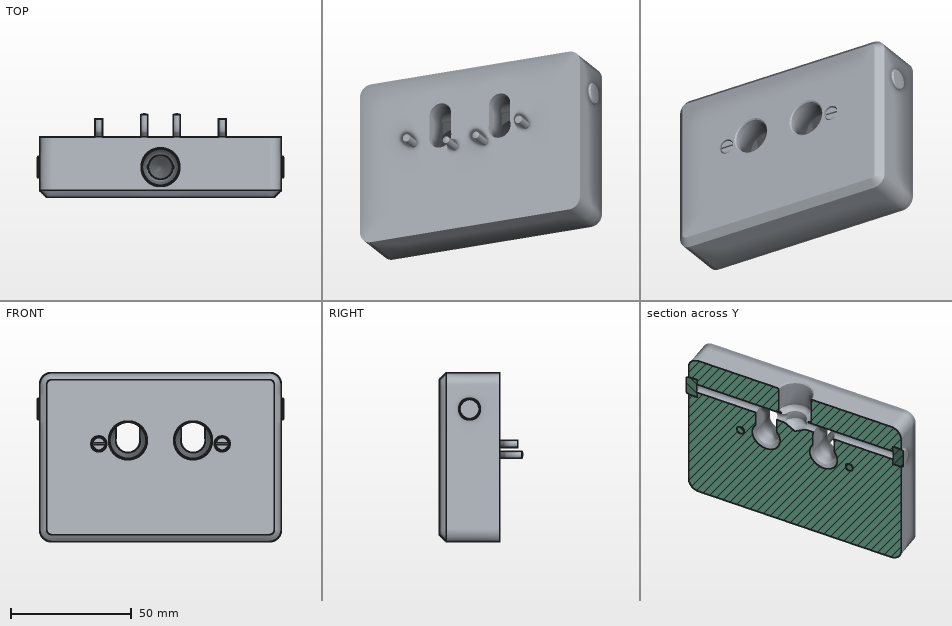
import cadquery as cq
import math


width = 100.0
depth = 25.0
height = 70.0
corner_radius = 5.0
front_chamfer = 3.0
front_y = -depth / 2
back_y = depth / 2

port_diameter = 15.0
port_depth = 11.9
port_rim_chamfer = 0.5
inner_diameter = 10.0
drill_half_angle = math.radians(60)
front_port_x = 13.5
front_port_z = 6.9

slot_width = 9.7
slot_rise = slot_width

channel_diameter = 4.0
channel_z = 19.9
plug_diameter = 9.0
plug_protrusion = 1.0
plug_seat_depth = 4.0
plug_chamfer = 0.5

screw_x = 25.5
screw_z = 5.5
shank_diameter = 3.2
shank_protrusion = 7.4
head_diameter = 5.6
head_height = 3.0
head_chamfer = 0.2
head_recess_diameter = 6.5
head_sink = 0.3
head_y = front_y + head_sink
head_seat_y = head_y + head_height
driver_slot_width = 0.7
driver_slot_depth = 1.0

pin_x = 6.7
pin_z = 1.0
pin_diameter = 3.0
pin_protrusion = 9.5
pin_seat_depth = 6.0
pin_dome_radius = pin_diameter

both_sides = (-1, 1)


def rod_y(diameter, x, z, y_start, y_end):
    """Cylinder along Y between two Y positions."""
    return (
        cq.Workplane("XZ", origin=(x, y_start, z))
        .circle(diameter / 2)
        .extrude(y_start - y_end)
    )


def port_cutter(inner_depth):
    """Port along -Z from the origin, ending in a drill point below the narrow bore."""
    outer_r = port_diameter / 2
    inner_r = inner_diameter / 2
    rim_r = outer_r + port_rim_chamfer
    shoulder_depth = port_depth + (outer_r - inner_r) / math.tan(drill_half_angle)
    tip_depth = inner_depth + inner_r / math.tan(drill_half_angle)
    return (
        cq.Workplane("XZ")
        .polyline([
            (0, 0),
            (rim_r, 0),
            (outer_r, -port_rim_chamfer),
            (outer_r, -port_depth),
            (inner_r, -shoulder_depth),
            (inner_r, -inner_depth),
            (0, -tip_depth),
        ])
        .close()
        .revolve(360, (0, 0, 0), (0, 1, 0))
    )


def back_slot(x):
    """Vertical round-ended slot from the port's cone to the back face."""
    return (
        cq.Workplane("XZ", origin=(x, back_y, front_port_z + slot_rise / 2))
        .slot2D(slot_rise + slot_width, slot_width, 90)
        .extrude(depth - port_depth)
    )


def plug_blank(side):
    """Plain plug cylinder, from its seat to its outer face, on one end of the channel."""
    seat_x = width / 2 - plug_seat_depth
    return (
        cq.Workplane("YZ", origin=(side * seat_x, 0, channel_z))
        .circle(plug_diameter / 2)
        .extrude(side * (plug_seat_depth + plug_protrusion))
    )


def make_housing():
    body = cq.Workplane("XY").box(width, depth, height)
    body = body.edges("|Y").fillet(corner_radius)
    body = body.faces("<Y").chamfer(front_chamfer)

    top_inner_depth = height / 2 - channel_z + channel_diameter / 2
    body = body.cut(port_cutter(top_inner_depth).translate((0, 0, height / 2)))

    channel = (
        cq.Workplane("YZ", origin=(-width / 2, 0, channel_z))
        .circle(channel_diameter / 2)
        .extrude(width)
    )
    body = body.cut(channel)

    for side in both_sides:
        body = body.cut(plug_blank(side))

        front_port = port_cutter(depth).rotate((0, 0, 0), (1, 0, 0), 90)
        body = body.cut(front_port.translate((side * front_port_x, front_y, front_port_z)))
        body = body.cut(back_slot(side * front_port_x))

        x = side * screw_x
        body = body.cut(rod_y(shank_diameter, x, screw_z, front_y, back_y))
        body = body.cut(rod_y(head_recess_diameter, x, screw_z, front_y, head_seat_y))

        body = body.cut(rod_y(pin_diameter, side * pin_x, pin_z, back_y - pin_seat_depth, back_y))
    return body


def make_plug(side):
    outer_face = ">X" if side > 0 else "<X"
    return plug_blank(side).faces(outer_face).chamfer(plug_chamfer)


def make_screw(x):
    head = rod_y(head_diameter, x, screw_z, head_y, head_seat_y).faces("<Y").chamfer(head_chamfer)
    shank = rod_y(shank_diameter, x, screw_z, head_seat_y, back_y + shank_protrusion)
    driver_slot = cq.Workplane("XY").box(head_diameter, 2 * driver_slot_depth, driver_slot_width)
    return head.union(shank).cut(driver_slot.translate((x, head_y, screw_z)))


def make_pin(x):
    """Pin with a domed tip, revolved about its own axis."""
    radius = pin_diameter / 2
    base_y = back_y - pin_seat_depth
    tip_y = back_y + pin_protrusion
    dome_height = pin_dome_radius - math.sqrt(pin_dome_radius ** 2 - radius ** 2)
    return (
        cq.Workplane("XY", origin=(x, 0, pin_z))
        .moveTo(0, base_y)
        .lineTo(radius, base_y)
        .lineTo(radius, tip_y - dome_height)
        .radiusArc((0, tip_y), -pin_dome_radius)
        .close()
        .revolve(360, (0, 0, 0), (0, 1, 0))
    )


housing = make_housing()
plugs = [make_plug(side) for side in both_sides]
screws = [make_screw(side * screw_x) for side in both_sides]
pins = [make_pin(side * pin_x) for side in both_sides]

result = cq.Compound.makeCompound([
    housing.val(),
    *[plug.val() for plug in plugs],
    *[screw.val() for screw in screws],
    *[pin.val() for pin in pins],
])